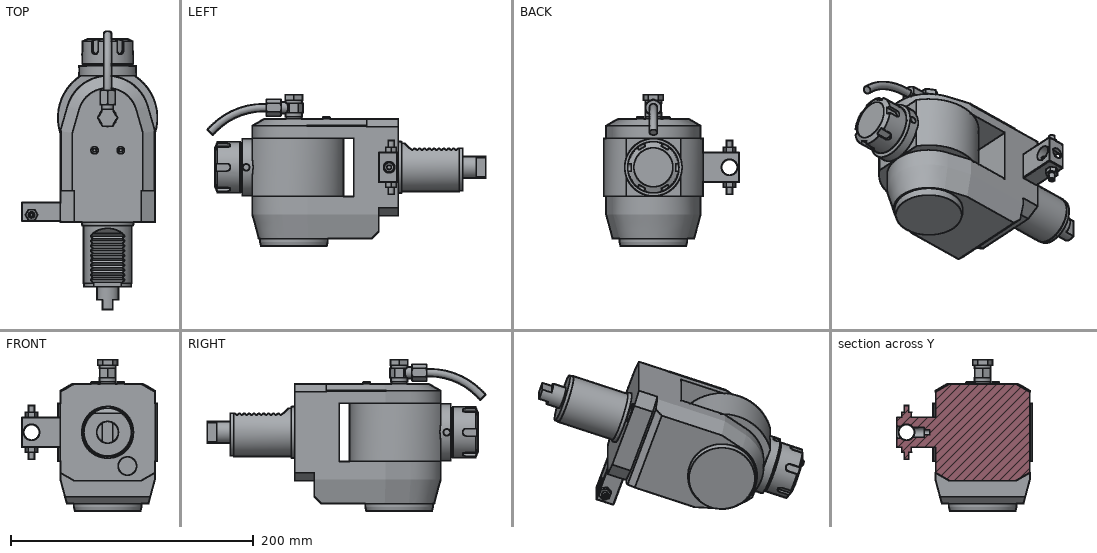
import cadquery as cq
import math


HALF_WIDTH = 39.0
HALF_HEIGHT = 40.0
HEAD_Y = 86.1
NOSE_RADIUS = 34.5
NOSE_Y = HEAD_Y + NOSE_RADIUS
SHOULDER_TAPER = 16.0
FOOT_TAPER = 15.0
EDGE_SLOPE = 60.0
TOP_BEVEL = 5.7
CORNER_BEVEL = 6.7
REAR_TOP_LENGTH = 26.0
FOOT_START = 16.0
TAPER_TOP = -38.8
FOOT_BOTTOM = -58.8
FOOT_BEVEL = 5.7
LEDGE_WIDTH = 0.7
LEDGE_Z = 33.8
WINDOW_BACK = 36.7
HEAD_HALF_HEIGHT = 24.0

HEAD_RADIUS = 41.0
DISC_RADIUS = 28.0
DISC_BOTTOM = -65.0
DISC_STEP = 2.8
DISC_TAPER = 1.0

FLANGE_RADIUS = 23.7
FLANGE_END = 128.8
FLANGE_HOLE_Y = 125.5
FLANGE_HOLE_RADIUS = 2.8
FLANGE_HOLE_DEPTH = 4.5
NECK_RADIUS = 17.5
NUT_START = 130.0
NUT_SHOULDER = 149.0
NUT_END = 151.1
NUT_RADIUS = 21.1
NUT_FACE_RADIUS = 16.0
NUT_EDGE = 0.7
SLOT_COUNT = 6
SLOT_WIDTH = 6.2
SLOT_END = 138.5
SLOT_DEPTH = 2.8

COLLAR_RADIUS = 21.4
COLLAR_LENGTH = 3.0
COLLAR_ROUND = 1.4
SHANK_RADIUS = 20.0
SHANK_END = -53.3
SHANK_LIP_LENGTH = 3.0
SHANK_LIP_STEP = 0.5
FLAT_HEIGHT = 15.8
FLAT_START = -9.2
FLAT_RUN_OUT = 4.1
TOOTH_COUNT = 10
TOOTH_DEPTH = 1.5
FIRST_TOOTH_Y = -11.5
LAST_TOOTH_Y = -47.5
TOOTH_PITCH = (FIRST_TOOTH_Y - LAST_TOOTH_Y) / (TOOTH_COUNT - 1)
DRIVE_RADIUS = 9.0
TANG_START = -64.0
TANG_END = -72.1
TANG_WIDTH = 8.7

BRACKET_END = -71.0
BRACKET_FRONT = 16.3
BRACKET_BACK = 1.0
BRACKET_HALF_HEIGHT = 12.5
BORE_X = -62.7
BORE_RADIUS = 6.5
SIDE_HOLE_Y = 7.5
SIDE_HOLE_RADIUS = 4.5
INNER_HOLE_RADIUS = 4.0
INNER_HOLE_END = -48.2
PILOT_RADIUS = 1.8
PILOT_END = -43.6
BRACKET_CHAMFER = 0.5
SCREW_Y = 6.0
SCREW_RADIUS = 2.5
SCREW_END = 22.3
SCREW_SOCKET_CORNERS = 2.8
SCREW_SOCKET_DEPTH = 2.3
LOCKNUT_HEIGHT = 4.1
LOCKNUT_CORNERS = 10.0

RECESS_X = 16.3
RECESS_Z = -27.8
RECESS_RADIUS = 7.5
RECESS_DEPTH = 2.3
CAP_SCREW_X = 10.8
CAP_SCREW_Y = 59.3
CAP_SCREW_RADIUS = 3.0
CAP_SCREW_HEIGHT = 1.5
CAP_SCREW_ROUND = 1.0
SOCKET_CORNERS = 3.2
SOCKET_DEPTH = 1.1

POST_FOOT_RADIUS = 6.5
POST_FOOT_TOP = 41.5
POST_RADIUS = 7.0
POST_TOP = 55.1
POST_HEX_BOTTOM = 45.0
POST_HEX_TOP = 52.5
POST_HEX_CORNERS = 15.2
HEAD_HEX_TOP = 60.0
HEAD_HEX_CORNERS = 16.5
HOSE_Z = 49.1
NIPPLE_RADIUS = 4.8
HOSE_NUT_START = 96.7
HOSE_NUT_END = 108.9
HOSE_NUT_CORNERS = 14.2
HOSE_NUT_CHAMFER = 0.7
HOSE_RADIUS = 3.2
HOSE_BEND_START = 111.2
HOSE_BEND_RADIUS = 57.5
HOSE_BEND_ANGLE = 45.0
HOSE_TIP_Y = 157.5


def box_between(x_range, y_range, z_range):
    """Box given by its two limits along each axis."""
    sizes = [high - low for low, high in (x_range, y_range, z_range)]
    return cq.Workplane("XY").box(*sizes, centered=False).translate((x_range[0], y_range[0], z_range[0]))


def turned_about_y(profile):
    """Solid of revolution about Y from (radius, y) points."""
    return cq.Workplane("XY").polyline(profile).close().revolve(360, (0, 0), (0, 1))


def rod_along_y(radius, y_start, y_end, x=0, z=0):
    return cq.Workplane("XZ", origin=(x, y_start, z)).circle(radius).extrude(y_start - y_end)


def post_along_z(radius, z_start, z_end, x=0, y=0):
    return cq.Workplane("XY", origin=(x, y, z_start)).circle(radius).extrude(z_end - z_start)


def hex_along_z(corners, z_start, z_end, x=0, y=0, turn=0):
    """Upright hexagon; its corners point along X unless turned."""
    prism = cq.Workplane("XY").polygon(6, corners).extrude(z_end - z_start)
    return prism.rotate((0, 0, 0), (0, 0, 1), turn).translate((x, y, z_start))


shoulder_angle = math.radians(SHOULDER_TAPER)
tangent_x = NOSE_RADIUS * math.cos(shoulder_angle)
tangent_y = HEAD_Y + NOSE_RADIUS * math.sin(shoulder_angle)
shoulder_y = tangent_y - (HALF_WIDTH - tangent_x) / math.tan(shoulder_angle)


def housing_outline(z, rear_y):
    """Plan outline: straight sides, tapered shoulders and a round nose tangent to them."""
    return (
        cq.Workplane("XY", origin=(0, 0, z))
        .moveTo(-HALF_WIDTH, rear_y)
        .lineTo(HALF_WIDTH, rear_y)
        .lineTo(HALF_WIDTH, shoulder_y)
        .lineTo(tangent_x, tangent_y)
        .threePointArc((0, NOSE_Y), (-tangent_x, tangent_y))
        .lineTo(-HALF_WIDTH, shoulder_y)
        .close()
    )


def make_housing():
    overhang_y = -2 * HALF_WIDTH
    bevel_base = HALF_HEIGHT - TOP_BEVEL
    middle = housing_outline(TAPER_TOP, overhang_y).extrude(bevel_base - TAPER_TOP)
    top = housing_outline(bevel_base, overhang_y).extrude(TOP_BEVEL, taper=EDGE_SLOPE)
    foot = housing_outline(TAPER_TOP, overhang_y).extrude(FOOT_BOTTOM - TAPER_TOP, taper=FOOT_TAPER)

    side_profile = (
        cq.Workplane("YZ")
        .polyline([
            (REAR_TOP_LENGTH, HALF_HEIGHT),
            (NOSE_Y, HALF_HEIGHT),
            (NOSE_Y, FOOT_BOTTOM),
            (FOOT_START + FOOT_BEVEL, FOOT_BOTTOM),
            (FOOT_START, FOOT_BOTTOM + FOOT_BEVEL),
            (FOOT_START, 0),
            (REAR_TOP_LENGTH, 0),
        ])
        .close()
        .extrude(HALF_WIDTH, both=True)
    )
    front = middle.union(top).union(foot).intersect(side_profile)
    for side in (-1, 1):
        x_range = sorted((side * HALF_WIDTH, side * (HALF_WIDTH - LEDGE_WIDTH)))
        front = front.cut(box_between(x_range, (0, shoulder_y), (LEDGE_Z, HALF_HEIGHT)))

    corner_width = CORNER_BEVEL * math.tan(math.radians(EDGE_SLOPE))
    inner_x = HALF_WIDTH - corner_width
    inner_z = HALF_HEIGHT - CORNER_BEVEL
    rear = (
        cq.Workplane("XZ")
        .polyline([
            (inner_x, HALF_HEIGHT), (HALF_WIDTH, inner_z),
            (HALF_WIDTH, -inner_z), (inner_x, -HALF_HEIGHT),
            (-inner_x, -HALF_HEIGHT), (-HALF_WIDTH, -inner_z),
            (-HALF_WIDTH, inner_z), (-inner_x, HALF_HEIGHT),
        ])
        .close()
        .extrude(-REAR_TOP_LENGTH)
    )
    sides = (-HALF_WIDTH, HALF_WIDTH)
    rear = rear.cut(box_between(sides, (FOOT_START, REAR_TOP_LENGTH), (-HALF_HEIGHT, 0)))

    window = box_between(
        sides, (WINDOW_BACK, NOSE_Y), (-HEAD_HALF_HEIGHT, HEAD_HALF_HEIGHT)
    )
    recess = rod_along_y(RECESS_RADIUS, 0, RECESS_DEPTH, RECESS_X, RECESS_Z)
    return front.union(rear).cut(window).cut(recess)


def make_head():
    """Drum filling the window up to the nose plane, and the disc under the housing."""
    drum = post_along_z(HEAD_RADIUS, -HEAD_HALF_HEIGHT, HEAD_HALF_HEIGHT, y=HEAD_Y)
    drum = drum.intersect(
        box_between((-HEAD_RADIUS, HEAD_RADIUS), (0, NOSE_Y), (-HEAD_HALF_HEIGHT, HEAD_HALF_HEIGHT))
    )
    disc = (
        cq.Workplane("XZ")
        .polyline([
            (0, FOOT_BOTTOM),
            (DISC_RADIUS, FOOT_BOTTOM),
            (DISC_RADIUS, FOOT_BOTTOM - DISC_STEP),
            (DISC_RADIUS - DISC_TAPER, DISC_BOTTOM),
            (0, DISC_BOTTOM),
        ])
        .close()
        .revolve(360, (0, 0), (0, 1))
        .translate((0, HEAD_Y, 0))
    )
    return drum, disc


def make_spindle():
    spindle = turned_about_y([
        (0, HEAD_Y),
        (FLANGE_RADIUS, HEAD_Y),
        (FLANGE_RADIUS, FLANGE_END),
        (NECK_RADIUS, FLANGE_END),
        (NECK_RADIUS, NUT_START),
        (NUT_RADIUS - NUT_EDGE, NUT_START),
        (NUT_RADIUS, NUT_START + NUT_EDGE),
        (NUT_RADIUS, NUT_SHOULDER),
        (NUT_FACE_RADIUS, NUT_END),
        (0, NUT_END),
    ])
    slot_floor = NUT_RADIUS - SLOT_DEPTH
    round_y = SLOT_END + SLOT_WIDTH / 2
    slot = (
        cq.Workplane("YZ", origin=(slot_floor, 0, 0))
        .moveTo(NUT_END, -SLOT_WIDTH / 2)
        .lineTo(round_y, -SLOT_WIDTH / 2)
        .threePointArc((SLOT_END, 0), (round_y, SLOT_WIDTH / 2))
        .lineTo(NUT_END, SLOT_WIDTH / 2)
        .close()
        .extrude(2 * SLOT_DEPTH)
    )
    for index in range(SLOT_COUNT):
        spindle = spindle.cut(slot.rotate((0, 0, 0), (0, 1, 0), index * 360 / SLOT_COUNT))

    for side in (-1, 1):
        hole = (
            cq.Workplane("YZ", origin=(side * FLANGE_RADIUS, 0, 0))
            .center(FLANGE_HOLE_Y, 0)
            .circle(FLANGE_HOLE_RADIUS)
            .extrude(-side * FLANGE_HOLE_DEPTH)
        )
        spindle = spindle.cut(hole)
    return spindle


def make_shank():
    collar = rod_along_y(COLLAR_RADIUS, 0, -COLLAR_LENGTH).faces("<Y").edges().fillet(COLLAR_ROUND)
    lip_start = SHANK_END + SHANK_LIP_LENGTH
    lip_radius = SHANK_RADIUS - SHANK_LIP_STEP
    barrel = turned_about_y([
        (0, 0), (SHANK_RADIUS, 0), (SHANK_RADIUS, lip_start),
        (lip_radius, lip_start), (lip_radius, SHANK_END), (0, SHANK_END),
    ])

    flat = (
        cq.Workplane("YZ")
        .polyline([
            (SHANK_END, FLAT_HEIGHT),
            (FLAT_START, FLAT_HEIGHT),
            (FLAT_START + FLAT_RUN_OUT, SHANK_RADIUS),
            (SHANK_END, SHANK_RADIUS),
        ])
        .close()
        .extrude(SHANK_RADIUS, both=True)
    )
    barrel = barrel.cut(flat)
    for index in range(TOOTH_COUNT):
        groove_y = FIRST_TOOTH_Y - index * TOOTH_PITCH
        groove = (
            cq.Workplane("YZ")
            .polyline([
                (groove_y - TOOTH_PITCH / 2, FLAT_HEIGHT),
                (groove_y, FLAT_HEIGHT - TOOTH_DEPTH),
                (groove_y + TOOTH_PITCH / 2, FLAT_HEIGHT),
            ])
            .close()
            .extrude(SHANK_RADIUS, both=True)
        )
        barrel = barrel.cut(groove)

    drive = rod_along_y(DRIVE_RADIUS, SHANK_END, TANG_END)
    for side in (-1, 1):
        inner_x = side * TANG_WIDTH / 2
        x_range = sorted((inner_x, side * DRIVE_RADIUS))
        drive = drive.cut(box_between(x_range, (TANG_END, TANG_START), (-DRIVE_RADIUS, DRIVE_RADIUS)))
    return collar.union(barrel).union(drive)


def make_bracket():
    bracket = box_between(
        (BRACKET_END, -HALF_WIDTH),
        (BRACKET_BACK, BRACKET_FRONT),
        (-BRACKET_HALF_HEIGHT, BRACKET_HALF_HEIGHT),
    )
    bracket = bracket.edges("|X or <X").chamfer(BRACKET_CHAMFER)
    bracket = bracket.cut(rod_along_y(BORE_RADIUS, BRACKET_BACK, BRACKET_FRONT, BORE_X))
    side_plane = cq.Workplane("YZ", origin=(BRACKET_END, SIDE_HOLE_Y, 0))
    side_hole_steps = (
        (SIDE_HOLE_RADIUS, BORE_X),
        (INNER_HOLE_RADIUS, INNER_HOLE_END),
        (PILOT_RADIUS, PILOT_END),
    )
    for radius, end_x in side_hole_steps:
        bracket = bracket.cut(side_plane.circle(radius).extrude(end_x - BRACKET_END))
    for side in (-1, 1):
        face_z = side * BRACKET_HALF_HEIGHT
        nut_z = side * (BRACKET_HALF_HEIGHT + LOCKNUT_HEIGHT)
        nut = hex_along_z(LOCKNUT_CORNERS, face_z, nut_z, BORE_X, SCREW_Y)
        screw = post_along_z(SCREW_RADIUS, face_z, side * SCREW_END, BORE_X, SCREW_Y)
        socket_z = side * (SCREW_END - SCREW_SOCKET_DEPTH)
        socket = hex_along_z(SCREW_SOCKET_CORNERS, socket_z, side * SCREW_END, BORE_X, SCREW_Y)
        bracket = bracket.union(nut).union(screw.cut(socket))
    return bracket


def make_cap_screw(x):
    top_z = HALF_HEIGHT + CAP_SCREW_HEIGHT
    screw = post_along_z(CAP_SCREW_RADIUS, HALF_HEIGHT, top_z, x, CAP_SCREW_Y)
    screw = screw.faces(">Z").edges().fillet(CAP_SCREW_ROUND)
    return screw.cut(hex_along_z(SOCKET_CORNERS, top_z - SOCKET_DEPTH, top_z, x, CAP_SCREW_Y))


def make_hose_fitting():
    fitting = post_along_z(POST_FOOT_RADIUS, HALF_HEIGHT, POST_FOOT_TOP, y=HEAD_Y)
    fitting = fitting.union(post_along_z(POST_RADIUS, POST_FOOT_TOP, POST_HEX_BOTTOM, y=HEAD_Y))
    fitting = fitting.union(
        hex_along_z(POST_HEX_CORNERS, POST_HEX_BOTTOM, POST_HEX_TOP, y=HEAD_Y, turn=90)
    )
    fitting = fitting.union(post_along_z(POST_RADIUS, POST_HEX_TOP, POST_TOP, y=HEAD_Y))
    fitting = fitting.union(hex_along_z(HEAD_HEX_CORNERS, POST_TOP, HEAD_HEX_TOP, y=HEAD_Y))

    nipple = rod_along_y(NIPPLE_RADIUS, HEAD_Y, HOSE_NUT_START, z=HOSE_Z)
    hose_nut = (
        cq.Workplane("XZ", origin=(0, HOSE_NUT_START, HOSE_Z))
        .transformed(rotate=(0, 0, 90))
        .polygon(6, HOSE_NUT_CORNERS)
        .extrude(HOSE_NUT_START - HOSE_NUT_END)
    )
    nut_envelope = rod_along_y(HOSE_NUT_CORNERS / 2, HOSE_NUT_START, HOSE_NUT_END, z=HOSE_Z)
    hose_nut = hose_nut.intersect(nut_envelope.edges().chamfer(HOSE_NUT_CHAMFER))
    return fitting.union(nipple).union(hose_nut).union(make_hose())


def make_hose():
    """Straight start, downward bend and a straight tip whose rim reaches HOSE_TIP_Y."""
    bend = math.radians(HOSE_BEND_ANGLE)

    def bend_point(angle):
        return (
            HOSE_BEND_START + HOSE_BEND_RADIUS * math.sin(angle),
            HOSE_Z - HOSE_BEND_RADIUS * (1 - math.cos(angle)),
        )

    bend_end_y, bend_end_z = bend_point(bend)
    tip_y = HOSE_TIP_Y - HOSE_RADIUS * math.sin(bend)
    tip_z = bend_end_z - (tip_y - bend_end_y) * math.tan(bend)
    path = (
        cq.Workplane("YZ")
        .moveTo(HOSE_NUT_END, HOSE_Z)
        .lineTo(HOSE_BEND_START, HOSE_Z)
        .threePointArc(bend_point(bend / 2), (bend_end_y, bend_end_z))
        .lineTo(tip_y, tip_z)
    )
    return cq.Workplane("XZ", origin=(0, HOSE_NUT_END, HOSE_Z)).circle(HOSE_RADIUS).sweep(path)


drum, disc = make_head()
result = make_housing().union(drum).union(disc).union(make_spindle()).union(make_shank())
result = result.union(make_bracket()).union(make_hose_fitting())
for screw_x in (-CAP_SCREW_X, CAP_SCREW_X):
    result = result.union(make_cap_screw(screw_x))